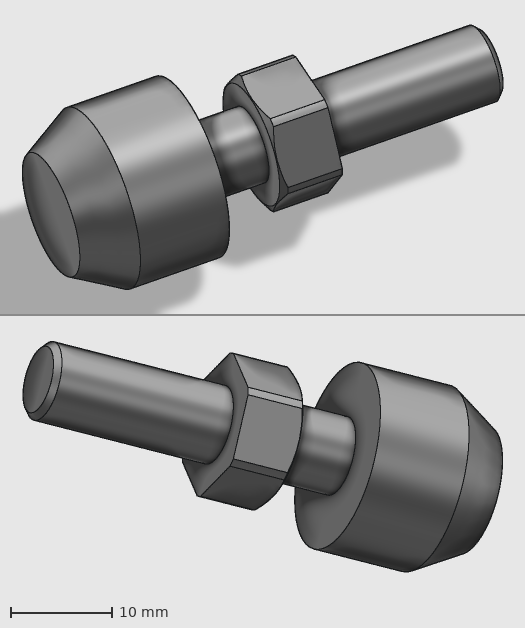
import cadquery as cq
import math

total_length = 48.0
head_diameter = 19.0
head_length = 15.0
tip_diameter = 13.0
tip_half_angle = 30.0
stud_diameter = 8.0
stud_chamfer = 0.6

nut_gap = 7.0
nut_thickness = 6.5
nut_across_flats = 13.0
nut_corner_diameter = 14.55
nut_face_diameter = 12.8
nut_chamfer_angle = 30.0

head_radius = head_diameter / 2
tip_radius = tip_diameter / 2
tip_length = (head_radius - tip_radius) / math.tan(math.radians(tip_half_angle))
stud_radius = stud_diameter / 2
nut_start = head_length + nut_gap
nut_end = nut_start + nut_thickness


def revolve_about_y(profile):
    """Turn a closed (radius, Y) outline about the Y axis."""
    return cq.Workplane("XY").polyline(profile).close().revolve(360, (0, 0), (0, 1))


def make_headed_stud():
    """Tapered head and plain stud as one turned solid."""
    return revolve_about_y([
        (0, 0),
        (tip_radius, 0),
        (head_radius, tip_length),
        (head_radius, head_length),
        (stud_radius, head_length),
        (stud_radius, total_length - stud_chamfer),
        (stud_radius - stud_chamfer, total_length),
        (0, total_length),
    ])


def make_nut():
    """Hexagon with flats at top and bottom, trimmed by a turned envelope."""
    point_to_point = nut_across_flats / math.cos(math.radians(30))
    hexagon = (
        cq.Workplane("XZ", origin=(0, nut_start, 0))
        .polygon(6, point_to_point)
        .extrude(-nut_thickness)
    )
    face_radius = nut_face_diameter / 2
    corner_radius = nut_corner_diameter / 2
    chamfer_length = (corner_radius - face_radius) * math.tan(math.radians(nut_chamfer_angle))
    envelope = revolve_about_y([
        (stud_radius, nut_start),
        (face_radius, nut_start),
        (corner_radius, nut_start + chamfer_length),
        (corner_radius, nut_end),
        (stud_radius, nut_end),
    ])
    return hexagon.intersect(envelope)


headed_stud = make_headed_stud()
nut = make_nut()

result = cq.Compound.makeCompound([headed_stud.val(), *nut.vals()])